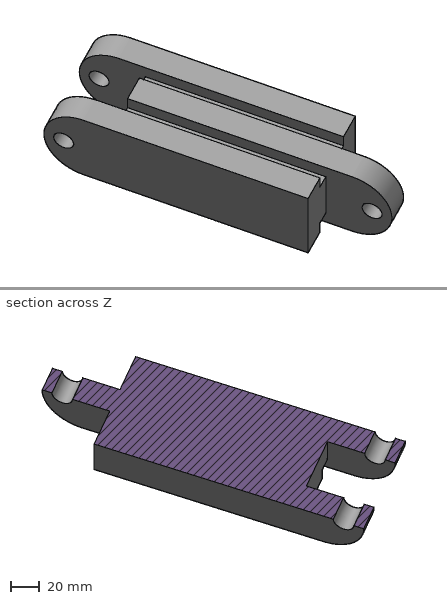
import cadquery as cq

total_length = 250.0
height = 60.0
plate_thickness = 20.0
tongue_thickness = 20.0
plate_length = 200.0
body_start = 50.0
web_width = 40.0
web_height = 40.0
hole_diameter = 15.0
hole_inset = 15.0

end_radius = height / 2
plate_offset = (web_width + plate_thickness) / 2


def link_bar(tip_x, square_end_x, thickness, center_y):
    """Flat bar with a full-round, drilled tip and a square far end."""
    inward = 1 if square_end_x > tip_x else -1
    arc_start_x = tip_x + inward * end_radius
    hole_x = tip_x + inward * hole_inset
    outline = (
        cq.Workplane("XZ", origin=(0, center_y, 0))
        .moveTo(square_end_x, -end_radius)
        .lineTo(arc_start_x, -end_radius)
        .threePointArc((tip_x, 0), (arc_start_x, end_radius))
        .lineTo(square_end_x, end_radius)
        .close()
    )
    bar = outline.extrude(thickness / 2, both=True)
    hole = (
        cq.Workplane("XZ", origin=(hole_x, center_y, 0))
        .circle(hole_diameter / 2)
        .extrude(thickness, both=True)
    )
    return bar.cut(hole)


web = cq.Workplane("XY").box(plate_length - body_start, web_width, web_height)
web = web.translate(((body_start + plate_length) / 2, 0, 0))

tongue = link_bar(total_length, body_start, tongue_thickness, 0)

result = web.union(tongue)

for side in (-1, 1):
    result = result.union(link_bar(0, plate_length, plate_thickness, side * plate_offset))